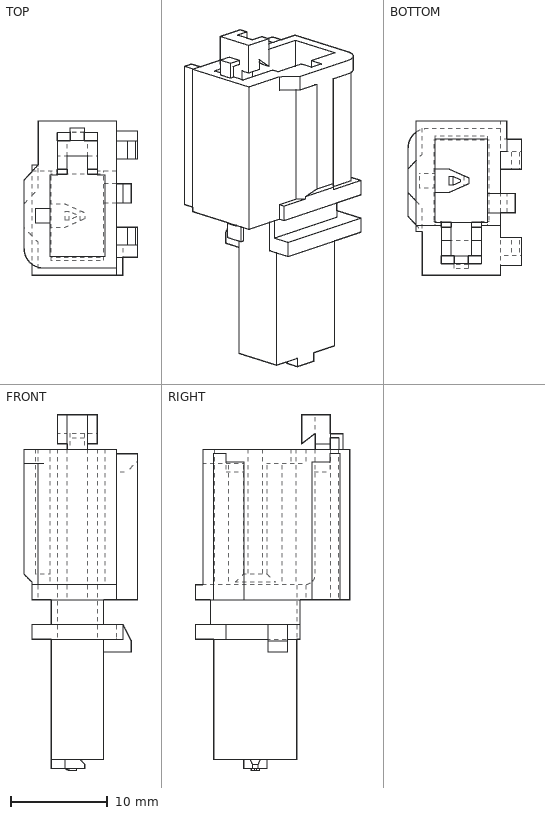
import cadquery as cq
import math


overall_height = 36.8
latch_top = 19.15
housing_top = 15.55
rail_top = 15.12
collar_bottom = 14.1
ledge_top = 1.6
floor_top = ledge_top
flange_top = -2.55
flange_bottom = -4.1
stem_bottom = -16.52
tab_bottom = -17.45
nub_bottom = latch_top - overall_height

housing_half = 4.05
housing_front = -5.4
housing_back = 9.8
key_side = -5.52
collar_radius = 2.02
collar_back = 5.25
bevel_front = 3.68
rib_half = 1.2
rib_foot_half = 2.75
rib_bottom = 2.65

ledge_half = 4.7
ledge_front = -6.2
ledge_back = collar_back
stem_half = 2.72
stem_half_depth = 4.3
neck_half_depth = 4.65

cavity_half = 2.85
cavity_front = -4.25
cavity_back = 4.2
key_slot_half = 0.75
key_slot_side = -4.3
slot_half = 2.05
slot_back = 8.57

arm_half = 1.05
arm_front = 6.2
arm_back = 7.75
arm_fillet = 1.03
head_front = 4.8
head_bottom = 16.1
barb_top = 17.2
strap_half = 0.75
strap_back = 9.1
strap_thickness = 0.45

rail_side = 6.22
rear_rail = (7.73, 8.75)
rear_lip = (5.85, 7.73)
front_rail = (-4.3, -3.05)
front_lip = (-3.05, -1.18)
lip_top = 14.25
lip_ridge = 0.22
lip_ramp_width = 0.8
lip_ramp_height = 1.03

catch_side = 5.6
catch_front = 1.3
catch_back = 3.3
catch_ramp_bottom = -4.27
catch_bottom = -5.4

tab_side = 0.77
tab_taper_start = -1.3
taper_angle = 24
tab_taper = math.tan(math.radians(taper_angle))
tab_chamfer = 0.48
nub_start = tab_taper_start
nub_ramp = 0.45
nub_side = -0.07
nub_half = 0.45


def block(x_range, y_range, z_range):
    """Axis-aligned box between the given limits."""
    corner = (x_range[0], y_range[0], z_range[0])
    size = (x_range[1] - x_range[0], y_range[1] - y_range[0], z_range[1] - z_range[0])
    return cq.Workplane("XY").box(*size, centered=False).translate(corner)


def centred(half_width):
    """Limits of a span centred on zero."""
    return (-half_width, half_width)


def plan_prism(points, bottom, top):
    """Outline in X and Y, extruded up from bottom to top."""
    return cq.Workplane("XY").workplane(offset=bottom).polyline(points).close().extrude(top - bottom)


def front_prism(points, y_range):
    """Outline in X and Z, extruded along Y."""
    plane = cq.Workplane("XZ").workplane(offset=-y_range[0])
    return plane.polyline(points).close().extrude(y_range[0] - y_range[1])


def side_prism(points, half_width):
    """Outline in Y and Z, extruded both ways along X."""
    return cq.Workplane("YZ").polyline(points).close().extrude(half_width, both=True)


def collar():
    """Rim with a rounded front corner and a bevelled step on the key side."""
    outline = [
        (key_side, housing_front),
        (housing_half, housing_front),
        (housing_half, housing_back),
        (-housing_half, housing_back),
        (-housing_half, collar_back),
        (key_side, bevel_front),
    ]
    rounded_corner = cq.selectors.NearestToPointSelector((key_side, housing_front, collar_bottom))
    rim = plan_prism(outline, collar_bottom, housing_top)
    return rim.edges("|Z").edges(rounded_corner).fillet(collar_radius)


def key_rib():
    """Bevelled rib down the key side, its lower end sloping back to the ledge."""
    outline = [
        (-housing_half, -rib_foot_half),
        (key_side, -rib_half),
        (key_side, rib_half),
        (-housing_half, rib_foot_half),
    ]
    rib = plan_prism(outline, 0, collar_bottom)
    slope = -ledge_half - key_side
    under_slope = [
        (key_side, 0),
        (-ledge_half, 0),
        (-ledge_half, rib_bottom - slope),
        (key_side, rib_bottom),
    ]
    return rib.cut(front_prism(under_slope, centred(rib_foot_half)))


def housing():
    """Solid housing with its rim, rib and bottom ledge."""
    shell = block(centred(housing_half), (housing_front, housing_back), (0, collar_bottom))
    ledge = block((-ledge_half, housing_half), (ledge_front, ledge_back), (0, ledge_top))
    return shell.union(collar()).union(key_rib()).union(ledge)


def stem():
    """Neck, shank and flange; the flange reaches past the housing's +X face only at the front."""
    neck = block(centred(stem_half), centred(neck_half_depth), (flange_bottom, 0))
    flange = block(centred(ledge_half), (ledge_front, neck_half_depth), (flange_bottom, flange_top))
    relief_y = (front_rail[1], neck_half_depth)
    side_relief = block((housing_half, ledge_half), relief_y, (flange_bottom, flange_top))
    shank = block(centred(stem_half), centred(stem_half_depth), (stem_bottom, 0))
    return neck.union(flange.cut(side_relief)).union(shank)


def catch():
    """Snap catch with a sloped outer top."""
    outline = [
        (stem_half, flange_top),
        (ledge_half, flange_top),
        (catch_side, catch_ramp_bottom),
        (catch_side, catch_bottom),
        (stem_half, catch_bottom),
    ]
    return front_prism(outline, (catch_front, catch_back))


def tapered_bar(profile, start, taper_start, tip, half_width):
    """Front profile extruded along Y, its sides converging between taper_start and the tip."""
    tip_half = half_width - (tip - taper_start) * tab_taper
    plan = [
        (start, -half_width),
        (taper_start, -half_width),
        (tip, -tip_half),
        (tip, tip_half),
        (taper_start, half_width),
        (start, half_width),
    ]
    return front_prism(profile, centred(half_width)).intersect(plan_prism(plan, nub_bottom, stem_bottom))


def end_tab():
    """Tab that narrows towards +X, with a small ramped nub beneath it."""
    tab_profile = [
        (-stem_half, stem_bottom),
        (tab_side - tab_chamfer, stem_bottom),
        (tab_side, stem_bottom - tab_chamfer),
        (tab_side, tab_bottom),
        (-stem_half, tab_bottom),
    ]
    nub_foot = nub_start + nub_ramp
    nub_profile = [
        (nub_start, tab_bottom),
        (nub_foot, nub_bottom),
        (nub_side, nub_bottom),
        (nub_side, tab_bottom),
    ]
    tab = tapered_bar(tab_profile, -stem_half, tab_taper_start, tab_side, rib_half)
    nub = tapered_bar(nub_profile, nub_start, nub_foot, nub_side, nub_half)
    return tab.union(nub)


def lip_rail(rail_y, lip_y):
    """Full-height rail with a lower lip beside it that ends in a raised outer ridge."""
    rail = block((housing_half, rail_side), rail_y, (0, rail_top))
    ramp_top = rail_side - lip_ridge
    ramp_foot = ramp_top - lip_ramp_width
    outline = [
        (housing_half, 0),
        (rail_side, 0),
        (rail_side, lip_top),
        (ramp_top, lip_top),
        (ramp_foot, lip_top - lip_ramp_height),
        (housing_half, lip_top - lip_ramp_height),
    ]
    return rail.union(front_prism(outline, lip_y))


def cavity():
    """Mating cavity, its key slot, and the latch slot that runs out through the underside."""
    above_floor = (floor_top, housing_top)
    socket = block(centred(cavity_half), (cavity_front, cavity_back), above_floor)
    key_slot = block((key_slot_side, 0), centred(key_slot_half), (rib_bottom, housing_top))
    slot_mouth = block(centred(slot_half), (0, stem_half_depth), above_floor)
    latch_slot = block(centred(slot_half), (stem_half_depth, slot_back), (flange_bottom, housing_top))
    return socket.union(key_slot).union(slot_mouth).union(latch_slot)


def latch():
    """Spring arm rising from the cavity floor, with a barbed head and a strap to the rear wall."""
    arm = (
        cq.Workplane("YZ")
        .moveTo(stem_half_depth, 0)
        .lineTo(arm_back, 0)
        .lineTo(arm_back, latch_top)
        .lineTo(arm_front, latch_top)
        .lineTo(arm_front, floor_top + arm_fillet)
        .radiusArc((arm_front - arm_fillet, floor_top), arm_fillet)
        .lineTo(stem_half_depth, floor_top)
        .close()
        .extrude(arm_half, both=True)
    )
    head_outline = [
        (arm_back, latch_top),
        (head_front, latch_top),
        (head_front, head_bottom),
        (arm_front, barb_top),
        (arm_front, head_bottom),
        (arm_back, head_bottom),
    ]
    throat = block(centred(arm_half), (head_front, arm_front), (head_bottom, latch_top))
    head = side_prism(head_outline, slot_half).cut(throat)
    strap_inner = strap_back - strap_thickness
    strap_outline = [
        (arm_back, barb_top),
        (strap_back, barb_top),
        (strap_back, housing_top),
        (strap_inner, housing_top),
        (strap_inner, barb_top - strap_thickness),
        (arm_back, barb_top - strap_thickness),
    ]
    return arm.union(head).union(side_prism(strap_outline, strap_half))


result = housing().union(stem()).cut(cavity()).union(catch()).union(end_tab()).union(latch())
result = result.union(lip_rail(rear_rail, rear_lip)).union(lip_rail(front_rail, front_lip))